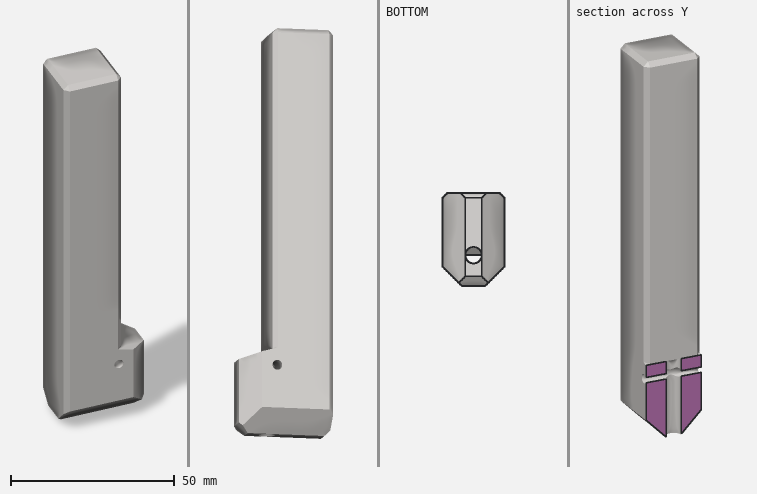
import cadquery as cq
import math

width = 19.0
height = 125.0
column_depth = width
foot_depth = 28.5
ledge_angle = 15.0
ledge_height = 25.2

small_chamfer = 1.5
foot_corner_chamfer = 6.0
base_side_chamfer = 7.0
base_back_chamfer = 3.0

cross_hole_diameter = 3.0
cross_hole_y = 17.8
cross_hole_z = 20.2
cord_hole_diameter = 5.0

ledge_slope = math.tan(math.radians(ledge_angle))


def make_column():
    """Square column with all vertical edges and the top rim chamfered."""
    column = cq.Workplane("XY").box(width, column_depth, height, centered=(True, False, False))
    return column.edges("|Z or >Z").chamfer(small_chamfer)


def make_foot():
    """Deeper foot under a sloping ledge, with wide chamfers on its back corners."""
    front_top = ledge_height + column_depth * ledge_slope
    back_top = ledge_height - (foot_depth - column_depth) * ledge_slope
    profile = [(0, 0), (foot_depth, 0), (foot_depth, back_top), (0, front_top)]
    foot = cq.Workplane("YZ").polyline(profile).close().extrude(width / 2, both=True)
    foot = foot.edges("|Z and <Y").chamfer(small_chamfer)
    return foot.edges("|Z and >Y").chamfer(foot_corner_chamfer)


def make_side_envelope():
    """Front outline that bevels both lower sides across the whole depth."""
    half_width = width / 2
    base_half_width = half_width - base_side_chamfer
    outline = [
        (-base_half_width, 0),
        (base_half_width, 0),
        (half_width, base_side_chamfer),
        (half_width, height),
        (-half_width, height),
        (-half_width, base_side_chamfer),
    ]
    return cq.Workplane("XZ").polyline(outline).close().extrude(-foot_depth)


def make_depth_envelope():
    """Side outline that bevels the front and back bottom edges."""
    outline = [
        (small_chamfer, 0),
        (foot_depth - base_back_chamfer, 0),
        (foot_depth, base_back_chamfer),
        (foot_depth, height),
        (0, height),
        (0, small_chamfer),
    ]
    return cq.Workplane("YZ").polyline(outline).close().extrude(width / 2, both=True)


def make_cross_hole():
    """Pin hole running through both sides of the foot."""
    hole = cq.Workplane("YZ").center(cross_hole_y, cross_hole_z).circle(cross_hole_diameter / 2)
    return hole.extrude(width / 2, both=True)


def make_cord_hole():
    """Vertical hole centred on the column's back face, reaching up to the ledge."""
    hole = cq.Workplane("XY").center(0, column_depth).circle(cord_hole_diameter / 2)
    return hole.extrude(ledge_height)


body = make_column().union(make_foot())
body = body.intersect(make_side_envelope()).intersect(make_depth_envelope())
result = body.cut(make_cross_hole()).cut(make_cord_hole())